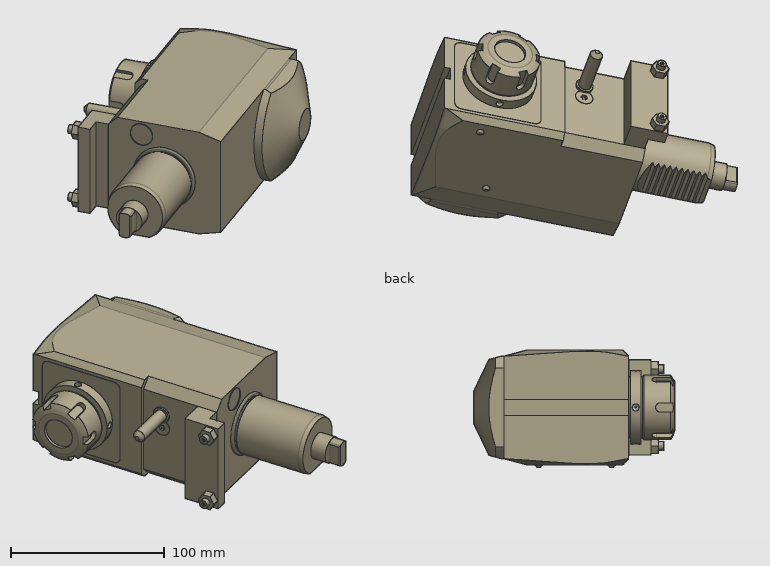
import cadquery as cq
import math


HALF_HEIGHT = 37.5
BACK_Y = 136.0
STEP_Y = 55.0
HEAD_LEFT_X = -41.8
HEAD_CHAMFER = 4.0
FOOT_LEFT_X = -39.3
FOOT_CHAMFER = 6.5
RIGHT_X = 39.0
TAPER_ANGLE = 15.0
TAPER_START_X = 24.0
TAPER_TAN = math.tan(math.radians(TAPER_ANGLE))
RIGHT_HALF_HEIGHT = HALF_HEIGHT - (RIGHT_X - TAPER_START_X) * TAPER_TAN
SLOT_WIDTH = 10.2
SLOT_DEPTH = 4.0

BEVEL_CURVE = [
    (-42.8, 16.6),
    (-37.9, 13.5),
    (-29.5, 7.3),
    (-13.0, 3.3),
    (10.0, 8.1),
    (24.0, 12.3),
    (40.1, 15.8),
]

SPINDLE_Y = 100.0
PLATE_WIDTH = 58.2
PLATE_HEIGHT = 62.5
PLATE_CORNER = 4.8
LINE_RELIEF = 0.2
TIP_X = -71.8

FLANGE_RADIUS = 24.0
FLANGE_FRONT_X = -50.0
FLANGE_BACK_X = -42.8
NECK_RADIUS = 19.8
FLANGE_HOLES = 4
FLANGE_HOLE_RADIUS = 2.3
FLANGE_HOLE_DEPTH = 3.1
FLANGE_HOLE_POINT = 1.2

NUT_RADIUS = 21.0
NUT_BACK_X = -50.8
NUT_FACE_RADIUS = 15.0
NUT_NOSE = 2.7
NUT_NOSE_RISE = 1.0
NUT_BORE_RADIUS = 10.5
NUT_BORE_DEPTH = 2.0
NUT_SLOTS = 6
NUT_SLOT_WIDTH = 6.0
NUT_SLOT_DEPTH = 3.1
NUT_LONG_SLOT_END_X = -57.0
NUT_SHORT_SLOT_END_X = -59.3
NUT_BACK_CHAMFER = 0.8

CAP_RADIUS = 40.4
CAP_RIM_X = 44.7
CAP_END_X = 58.9
CAP_END_RADIUS = 10.6
CAP_FLAT_Y = 131.2
CAP_TAPER_START_X = 40.8

SHANK_RADIUS = 20.0
SHANK_LENGTH = 52.8
SHANK_CHAMFER = 0.8
SHANK_CHAMFER_LENGTH = 3.1
COLLAR_RADIUS = 21.5
COLLAR_LENGTH = 1.9
COLLAR_FILLET = 0.8
RELIEF_RADIUS = 19.3
RELIEF_END = 3.3
TANG_RADIUS = 9.0
TANG_SHOULDER = 63.6
TANG_END = 72.0
BLADE_THICKNESS = 8.5
BLADE_CHAMFER = 0.8
BLADE_END_CHAMFER = 0.8
BLADE_ROOT_FILLET = 0.8
RACK_TIP_Z = -16.5
RACK_DEPTH = 1.9
RACK_PITCH = 4.0
RACK_VALLEYS = 10

BRACKET_LEFT_X = -56.2
BRACKET_LEG_X = -47.8
BRACKET_BACK_Y = 14.4
BRACKET_NOTCH_Y = 0.5
BRACKET_FRONT_Y = -10.6
BRACKET_HALF_HEIGHT = 31.0
BOLT_Y = -4.4
BOLT_Z = 25.0
HEX_FLATS = 10.0
HEX_THICKNESS = 5.0
STUD_RADIUS = 3.0
STUD_END_X = -64.7
STUD_SOCKET = 2.5
STUD_SOCKET_DEPTH = 1.5

PIN_Y = 41.2
PIN_Z = 15.8
PIN_RADIUS = 4.2
PIN_POINT_LENGTH = 2.7
PIN_POINT_RADIUS = 1.5
PIN_COLLAR_RADIUS = 5.6
PIN_COLLAR_LENGTH = 1.5
SCREW_Z = 5.8
SCREW_RADIUS = 5.8
SCREW_SOCKET = 4.2
SCREW_SOCKET_DEPTH = 1.7
PLUG_X = -16.2
PLUG_Z = 27.9
PLUG_RADIUS = 7.7
PLUG_DEPTH = 0.6
NIPPLES = [(-30.8, 108.8), (16.6, 91.7)]
NIPPLE_BASE_RADIUS = 2.5
NIPPLE_TIP_RADIUS = 0.8
NIPPLE_HEIGHT = 1.7

OVERLAP = 1.0


def rod_x(x_start, x_end, radius, y, z=0.0):
    """Round bar along X."""
    return cq.Workplane("YZ", origin=(x_start, y, z)).circle(radius).extrude(x_end - x_start)


def hex_x(x_start, x_end, corners, y, z):
    """Hexagonal bar along X with corners pointing along Y."""
    return cq.Workplane("YZ", origin=(x_start, y, z)).polygon(6, corners).extrude(x_end - x_start)


def rod_y(y_start, y_end, radius):
    """Round bar on the shank axis; both ends are distances in front of the housing."""
    return cq.Workplane("XZ", origin=(0, -y_start, 0)).circle(radius).extrude(y_end - y_start)


def about_spindle(shape, angle):
    """Turn a shape about the spindle axis by an angle in degrees."""
    return shape.rotate((0, SPINDLE_Y, 0), (1, SPINDLE_Y, 0), angle)


def housing_block(left_x, chamfer, y_start, y_end):
    """Housing prism along Y, chamfered on the left and tapered on the right."""
    upper = [
        (left_x, HALF_HEIGHT - chamfer),
        (left_x + chamfer, HALF_HEIGHT),
        (TAPER_START_X, HALF_HEIGHT),
        (RIGHT_X, RIGHT_HALF_HEIGHT),
    ]
    lower = [(x, -z) for x, z in reversed(upper)]
    outline = cq.Workplane("XZ", origin=(0, y_end, 0)).polyline(upper + lower).close()
    return outline.extrude(y_end - y_start)


def back_bevel():
    """Cutter for the crowned bevel along the top back edge."""
    tilt = math.radians(TAPER_ANGLE)
    plane = cq.Plane(
        origin=(0, BACK_Y, HALF_HEIGHT),
        xDir=(1, 0, 0),
        normal=(0, -math.cos(tilt), math.sin(tilt)),
    )

    def on_plane(point):
        x, setback = point
        return x, -setback * math.sin(tilt)

    curve = [on_plane(point) for point in BEVEL_CURVE]
    reach = HALF_HEIGHT
    return (
        cq.Workplane(plane)
        .moveTo(*curve[0])
        .spline(curve[1:], includeCurrent=True)
        .lineTo(BEVEL_CURVE[-1][0], reach)
        .lineTo(BEVEL_CURVE[0][0], reach)
        .close()
        .extrude(reach, both=True)
    )


def housing():
    head = housing_block(HEAD_LEFT_X, HEAD_CHAMFER, STEP_Y, BACK_Y)
    foot = housing_block(FOOT_LEFT_X, FOOT_CHAMFER, 0, STEP_Y)
    body = head.union(foot)
    bevel = back_bevel()
    body = body.cut(bevel).cut(bevel.mirror("XY"))
    slot = cq.Workplane("XY").box(4 * RIGHT_X, 2 * SLOT_DEPTH, SLOT_WIDTH)
    body = body.cut(slot.translate((0, BACK_Y, 0)))
    plug = cq.Workplane("XZ", origin=(PLUG_X, 0, PLUG_Z)).circle(PLUG_RADIUS).extrude(-PLUG_DEPTH)
    return body.cut(plug)


def spindle_cover():
    return (
        cq.Workplane("YZ", origin=(HEAD_LEFT_X - LINE_RELIEF, SPINDLE_Y, 0))
        .rect(PLATE_WIDTH, PLATE_HEIGHT)
        .extrude(LINE_RELIEF + OVERLAP)
        .edges("|X")
        .fillet(PLATE_CORNER)
    )


def spindle_flange():
    neck = rod_x(NUT_BACK_X - OVERLAP, HEAD_LEFT_X + OVERLAP, NECK_RADIUS, SPINDLE_Y)
    flange = rod_x(FLANGE_FRONT_X, FLANGE_BACK_X, FLANGE_RADIUS, SPINDLE_Y)
    hole_floor = FLANGE_RADIUS - FLANGE_HOLE_DEPTH
    hole = (
        cq.Workplane("XZ")
        .polyline([
            (0, FLANGE_RADIUS + OVERLAP),
            (FLANGE_HOLE_RADIUS, FLANGE_RADIUS + OVERLAP),
            (FLANGE_HOLE_RADIUS, hole_floor),
            (0, hole_floor - FLANGE_HOLE_POINT),
        ])
        .close()
        .revolve(360, (0, 0, 0), (0, 1, 0))
        .translate(((FLANGE_FRONT_X + FLANGE_BACK_X) / 2, SPINDLE_Y, 0))
    )
    for i in range(FLANGE_HOLES):
        flange = flange.cut(about_spindle(hole, i * 360 / FLANGE_HOLES))
    return flange.union(neck)


def nut_slot(end_x):
    """Cutter for a round-ended spanner slot on the -Y side of the nut."""
    floor = NUT_RADIUS - NUT_SLOT_DEPTH
    straight_end = end_x - NUT_SLOT_WIDTH / 2
    return (
        cq.Workplane("XZ", origin=(0, SPINDLE_Y - floor, 0))
        .moveTo(TIP_X - OVERLAP, NUT_SLOT_WIDTH / 2)
        .lineTo(straight_end, NUT_SLOT_WIDTH / 2)
        .threePointArc((end_x, 0), (straight_end, -NUT_SLOT_WIDTH / 2))
        .lineTo(TIP_X - OVERLAP, -NUT_SLOT_WIDTH / 2)
        .close()
        .extrude(2 * NUT_SLOT_DEPTH)
    )


def clamping_nut():
    nose_middle = (TIP_X + NUT_NOSE_RISE, (NUT_FACE_RADIUS + NUT_RADIUS) / 2)
    nut = (
        cq.Workplane("XY")
        .moveTo(TIP_X, 0)
        .lineTo(TIP_X, NUT_FACE_RADIUS)
        .threePointArc(nose_middle, (TIP_X + NUT_NOSE, NUT_RADIUS))
        .lineTo(NUT_BACK_X - NUT_BACK_CHAMFER, NUT_RADIUS)
        .lineTo(NUT_BACK_X, NUT_RADIUS - NUT_BACK_CHAMFER)
        .lineTo(NUT_BACK_X, 0)
        .close()
        .revolve(360, (0, 0, 0), (1, 0, 0))
        .translate((0, SPINDLE_Y, 0))
    )
    nut = nut.cut(rod_x(TIP_X, TIP_X + NUT_BORE_DEPTH, NUT_BORE_RADIUS, SPINDLE_Y))
    for i in range(NUT_SLOTS):
        faces_y = i % (NUT_SLOTS // 2) == 0
        slot = nut_slot(NUT_SHORT_SLOT_END_X if faces_y else NUT_LONG_SLOT_END_X)
        nut = nut.cut(about_spindle(slot, i * 360 / NUT_SLOTS))
    return nut


def end_cap():
    """Conical cap trimmed flat at the back and tapered like the housing above and below."""
    start_x = RIGHT_X - OVERLAP
    cap = (
        cq.Workplane("XY")
        .polyline([
            (start_x, 0),
            (start_x, CAP_RADIUS),
            (CAP_RIM_X, CAP_RADIUS),
            (CAP_END_X, CAP_END_RADIUS),
            (CAP_END_X, 0),
        ])
        .close()
        .revolve(360, (0, 0, 0), (1, 0, 0))
        .translate((0, SPINDLE_Y, 0))
    )
    end_half_height = RIGHT_HALF_HEIGHT - (CAP_END_X - CAP_TAPER_START_X) * TAPER_TAN
    upper = [
        (start_x, RIGHT_HALF_HEIGHT),
        (CAP_TAPER_START_X, RIGHT_HALF_HEIGHT),
        (CAP_END_X, end_half_height),
    ]
    lower = [(x, -z) for x, z in reversed(upper)]
    envelope = (
        cq.Workplane("XZ", origin=(0, CAP_FLAT_Y, 0))
        .polyline(upper + lower)
        .close()
        .extrude(CAP_FLAT_Y)
    )
    return cap.intersect(envelope)


def shank():
    chamfer_start = SHANK_LENGTH - SHANK_CHAMFER_LENGTH
    bar = rod_y(-OVERLAP, RELIEF_END, RELIEF_RADIUS)
    collar = rod_y(-OVERLAP, COLLAR_LENGTH, COLLAR_RADIUS).faces("<Y").edges().fillet(COLLAR_FILLET)
    bar = bar.union(collar)
    barrel = (
        cq.Workplane("XY")
        .polyline([
            (0, -RELIEF_END),
            (SHANK_RADIUS, -RELIEF_END),
            (SHANK_RADIUS, -chamfer_start),
            (SHANK_RADIUS - SHANK_CHAMFER, -SHANK_LENGTH),
            (0, -SHANK_LENGTH),
        ])
        .close()
        .revolve(360, (0, 0, 0), (0, 1, 0))
    )
    barrel = barrel.cut(rack_cutter())
    return bar.union(barrel).union(drive_tang())


def drive_tang():
    """Round stub ending in a flat driving blade."""
    tang = rod_y(SHANK_LENGTH - OVERLAP, TANG_SHOULDER, TANG_RADIUS)
    half_thickness = BLADE_THICKNESS / 2
    half_height = math.sqrt(TANG_RADIUS**2 - half_thickness**2)
    crown = half_height - BLADE_CHAMFER
    inset = half_thickness - BLADE_CHAMFER
    blade = (
        cq.Workplane("XZ", origin=(0, -TANG_SHOULDER, 0))
        .moveTo(half_thickness, -crown)
        .lineTo(half_thickness, crown)
        .lineTo(inset, half_height)
        .threePointArc((0, TANG_RADIUS), (-inset, half_height))
        .lineTo(-half_thickness, crown)
        .lineTo(-half_thickness, -crown)
        .lineTo(-inset, -half_height)
        .threePointArc((0, -TANG_RADIUS), (inset, -half_height))
        .close()
        .extrude(TANG_END - TANG_SHOULDER)
    )
    for side in (">X", "<X"):
        blade = blade.faces(side).edges("<Y").chamfer(BLADE_END_CHAMFER)
    root = (
        cq.Workplane("XY", origin=(half_thickness, -TANG_SHOULDER, -crown))
        .lineTo(BLADE_ROOT_FILLET, 0)
        .radiusArc((0, -BLADE_ROOT_FILLET), -BLADE_ROOT_FILLET)
        .close()
        .extrude(2 * crown)
    )
    tang = tang.union(root).union(root.mirror("YZ"))
    return tang.union(blade)


def rack_cutter():
    """Removes the underside of the shank, leaving a row of pointed teeth across it."""
    below = -SHANK_RADIUS - OVERLAP
    last_tip = -SHANK_LENGTH + SHANK_CHAMFER_LENGTH
    outline = [(-SHANK_LENGTH, below), (-SHANK_LENGTH, RACK_TIP_Z), (last_tip, RACK_TIP_Z)]
    for i in range(RACK_VALLEYS):
        tip_y = last_tip + i * RACK_PITCH
        outline.append((tip_y + RACK_PITCH / 2, RACK_TIP_Z + RACK_DEPTH))
        outline.append((tip_y + RACK_PITCH, RACK_TIP_Z))
    rack_end = last_tip + RACK_VALLEYS * RACK_PITCH
    flank_slope = RACK_DEPTH / (RACK_PITCH / 2)
    outline.append((rack_end + (RACK_TIP_Z - below) / flank_slope, below))
    return cq.Workplane("YZ").polyline(outline).close().extrude(SHANK_RADIUS, both=True)


def clamp_bracket():
    return (
        cq.Workplane("XY", origin=(0, 0, -BRACKET_HALF_HEIGHT))
        .polyline([
            (BRACKET_LEFT_X, BRACKET_FRONT_Y),
            (BRACKET_LEG_X, BRACKET_FRONT_Y),
            (BRACKET_LEG_X, BRACKET_NOTCH_Y),
            (FOOT_LEFT_X + OVERLAP, BRACKET_NOTCH_Y),
            (FOOT_LEFT_X + OVERLAP, BRACKET_BACK_Y),
            (BRACKET_LEFT_X, BRACKET_BACK_Y),
        ])
        .close()
        .extrude(2 * BRACKET_HALF_HEIGHT)
    )


def bracket_bolt(z):
    corners = HEX_FLATS / math.cos(math.pi / 6)
    inside_x = BRACKET_LEFT_X + OVERLAP
    nut = hex_x(BRACKET_LEFT_X - HEX_THICKNESS, inside_x, corners, BOLT_Y, z)
    stud = rod_x(STUD_END_X, inside_x, STUD_RADIUS, BOLT_Y, z)
    socket = hex_x(STUD_END_X, STUD_END_X + STUD_SOCKET_DEPTH, STUD_SOCKET, BOLT_Y, z)
    return nut.union(stud).cut(socket)


def locating_pin():
    inside_x = FOOT_LEFT_X + OVERLAP
    collar_x = FOOT_LEFT_X - PIN_COLLAR_LENGTH
    return (
        cq.Workplane("XY")
        .polyline([
            (TIP_X, 0),
            (TIP_X, PIN_POINT_RADIUS),
            (TIP_X + PIN_POINT_LENGTH, PIN_RADIUS),
            (collar_x, PIN_RADIUS),
            (collar_x, PIN_COLLAR_RADIUS),
            (inside_x, PIN_COLLAR_RADIUS),
            (inside_x, 0),
        ])
        .close()
        .revolve(360, (0, 0, 0), (1, 0, 0))
        .translate((0, PIN_Y, PIN_Z))
    )


def socket_screw():
    face_x = FOOT_LEFT_X - LINE_RELIEF
    return rod_x(face_x, FOOT_LEFT_X + OVERLAP, SCREW_RADIUS, PIN_Y, SCREW_Z)


def screw_socket():
    face_x = FOOT_LEFT_X - LINE_RELIEF
    return hex_x(face_x, face_x + SCREW_SOCKET_DEPTH, SCREW_SOCKET, PIN_Y, SCREW_Z)


def nipple(x, y):
    """Small cone under the housing."""
    return (
        cq.Workplane("XZ")
        .polyline([
            (0, -HALF_HEIGHT + OVERLAP),
            (NIPPLE_BASE_RADIUS, -HALF_HEIGHT + OVERLAP),
            (NIPPLE_BASE_RADIUS, -HALF_HEIGHT),
            (NIPPLE_TIP_RADIUS, -HALF_HEIGHT - NIPPLE_HEIGHT),
            (0, -HALF_HEIGHT - NIPPLE_HEIGHT),
        ])
        .close()
        .revolve(360, (0, 0, 0), (0, 1, 0))
        .translate((x, y, 0))
    )


pieces = [
    spindle_cover(),
    spindle_flange(),
    clamping_nut(),
    end_cap(),
    shank(),
    clamp_bracket(),
    bracket_bolt(BOLT_Z),
    bracket_bolt(-BOLT_Z),
    locating_pin(),
    socket_screw(),
]
pieces += [nipple(x, y) for x, y in NIPPLES]

result = housing()
for piece in pieces:
    result = result.union(piece)
result = result.cut(screw_socket())